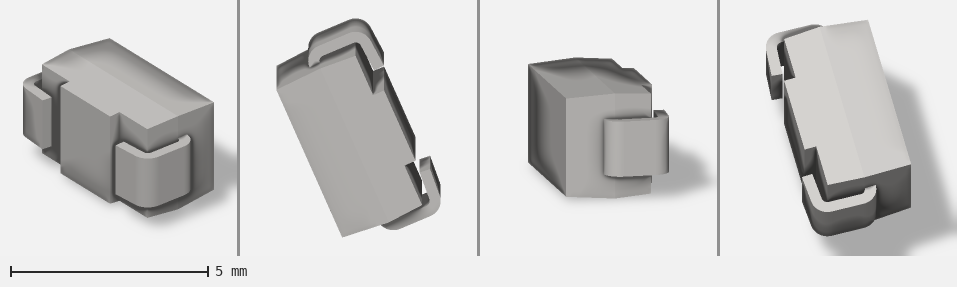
import cadquery as cq
import math

overall_length = 5.2
body_length = 4.375
body_height = 2.725
draft_angle = 4.0

back_depth = 1.25
shoulder_depth = 0.947
pad_depth = 1.25
pad_length = 2.0

lead_width = 1.43
lead_thickness = 0.28
inner_bend_radius = 0.15
outer_bend_radius = inner_bend_radius + lead_thickness
root_thickness = 0.295
root_bend_radius = outer_bend_radius - root_thickness
lead_top = 0.3
overall_depth = 2.7
lead_bottom = back_depth - overall_depth
foot_slope = 4.0
foot_reach = 1.13


def drafted_half(depth):
    """Half of the body, grown from the parting plane along Y (sign of depth)."""
    plane = cq.Workplane("XZ")
    if depth > 0:
        plane = plane.transformed(rotate=(180, 0, 0))
    return plane.rect(body_length, body_height).extrude(abs(depth), taper=draft_angle)


def make_body():
    """Moulded body: drafted both ways, with a shoulder cut at each end of the pad."""
    body = drafted_half(back_depth).union(drafted_half(-pad_depth))
    notch_length = (overall_length - pad_length) / 2
    notch_depth = pad_depth - shoulder_depth
    notch_x = (pad_length + notch_length) / 2
    notch_y = -(shoulder_depth + notch_depth / 2)
    for side in (-1, 1):
        notch = cq.Workplane("XY").box(notch_length, notch_depth, body_height)
        body = body.cut(notch.translate((side * notch_x, notch_y, 0)))
    return body


def make_lead(body, side):
    """C-shaped strip from the body's end face, folded under the shoulder; side is -1 (-X) or 1 (+X)."""
    slope = math.radians(foot_slope)
    along_foot = (math.cos(slope), -math.sin(slope))
    foot_normal = (-math.sin(slope), -math.cos(slope))
    outside = -overall_length / 2
    bend_x = outside + outer_bend_radius
    root_bend_x = outside + lead_thickness + root_bend_radius
    upper_bend_y = lead_top - outer_bend_radius

    foot_corner_x = outside + foot_reach
    tangent_x = bend_x + outer_bend_radius * foot_normal[0]
    foot_length = (foot_corner_x - tangent_x) / along_foot[0]
    tangent_y = lead_bottom - foot_length * along_foot[1]
    lower_bend_y = tangent_y - outer_bend_radius * foot_normal[1]

    def on_lower_bend(radius, angle):
        return (bend_x + radius * math.cos(angle), lower_bend_y + radius * math.sin(angle))

    def on_upper_bend(radius, center_x):
        middle = radius * math.sqrt(0.5)
        return (center_x - middle, upper_bend_y + middle)

    def foot_end(radius):
        return (
            bend_x + radius * foot_normal[0] + foot_length * along_foot[0],
            lower_bend_y + radius * foot_normal[1] + foot_length * along_foot[1],
        )

    foot_angle = 1.5 * math.pi - slope
    middle_angle = (math.pi + foot_angle) / 2
    root_x = -body_length / 2 + lead_thickness / 2

    strip = (
        cq.Workplane("XY")
        .workplane(offset=-lead_width / 2)
        .moveTo(root_x, lead_top)
        .lineTo(bend_x, lead_top)
        .threePointArc(on_upper_bend(outer_bend_radius, bend_x), (outside, upper_bend_y))
        .lineTo(outside, lower_bend_y)
        .threePointArc(
            on_lower_bend(outer_bend_radius, middle_angle), on_lower_bend(outer_bend_radius, foot_angle)
        )
        .lineTo(*foot_end(outer_bend_radius))
        .lineTo(*foot_end(inner_bend_radius))
        .lineTo(*on_lower_bend(inner_bend_radius, foot_angle))
        .threePointArc(
            on_lower_bend(inner_bend_radius, middle_angle), (outside + lead_thickness, lower_bend_y)
        )
        .lineTo(outside + lead_thickness, upper_bend_y)
        .threePointArc(
            on_upper_bend(root_bend_radius, root_bend_x), (root_bend_x, lead_top - root_thickness)
        )
        .lineTo(root_x, lead_top - root_thickness)
        .close()
        .extrude(lead_width)
    )
    if side > 0:
        strip = strip.mirror("YZ")
    return strip.cut(body)


body = make_body()
leads = [make_lead(body, side) for side in (-1, 1)]

result = cq.Compound.makeCompound([body.val(), *[lead.val() for lead in leads]])